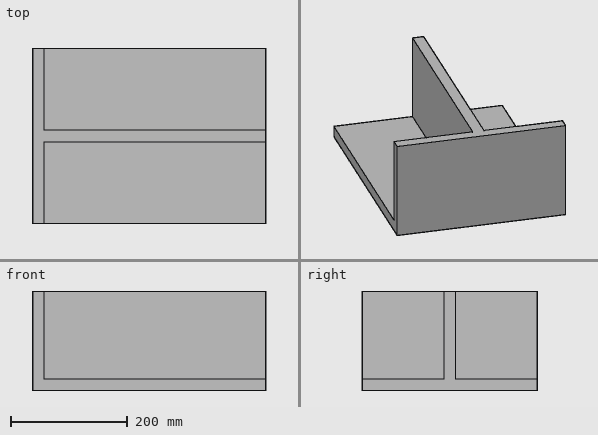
import cadquery as cq

length = 400.0
width = 300.0
height = 170.0
thickness = 20.0


def plate(size_x, size_y, size_z):
    """Plate standing on Z = 0, starting at X = 0 and centred on Y = 0."""
    return cq.Workplane("XY").box(size_x, size_y, size_z, centered=(False, True, False))


base = plate(length, width, thickness)
end_wall = plate(thickness, width, height)
middle_rib = plate(length, thickness, height)

result = base.union(end_wall).union(middle_rib)